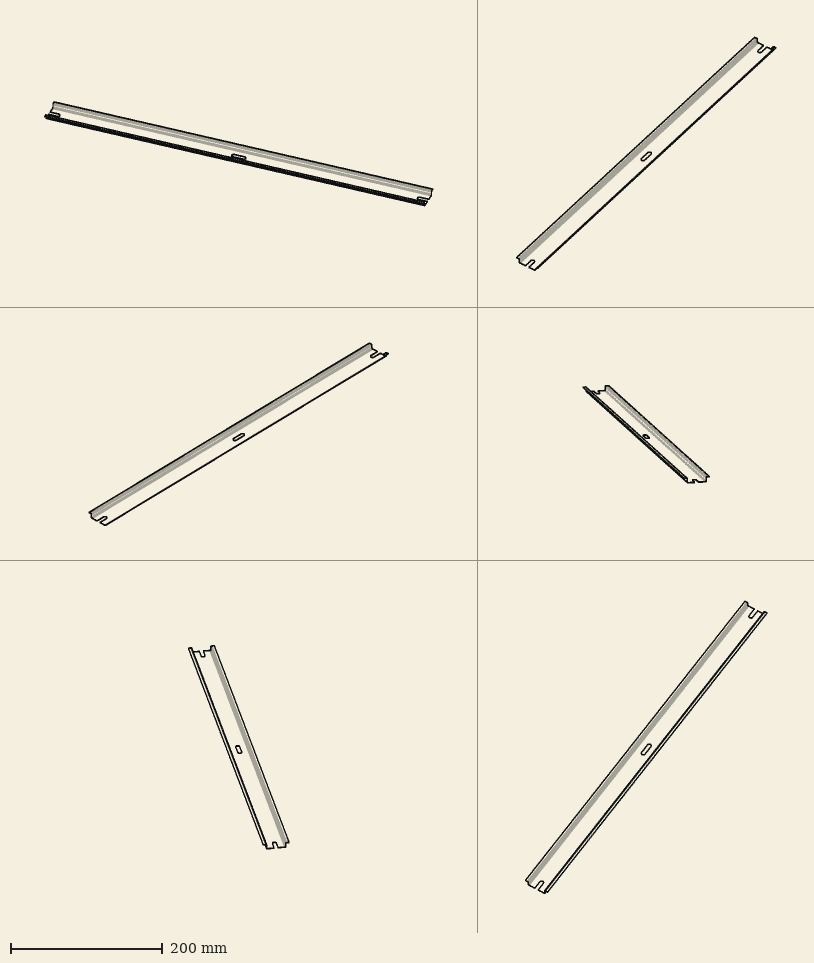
import cadquery as cq

length = 535.0
width = 35.0
height = 7.5

sheet = 1.0
channel_width = 27.0
inner_bend = 0.8
outer_bend = inner_bend + sheet

slot_width = 5.5
middle_slot_length = 20.0
end_slot_depth = 15.0


def block(size_y, bottom, top):
    """Full-length bar centred on Y between two heights."""
    return (
        cq.Workplane("XY")
        .workplane(offset=bottom)
        .box(length, size_y, top - bottom, centered=(True, True, False))
    )


def slot_cutter(center_x, slot_length):
    """Round-ended cutter through the web."""
    return (
        cq.Workplane("XY")
        .center(center_x, 0)
        .slot2D(slot_length, slot_width)
        .extrude(sheet)
    )


def outer_form():
    """Solid channel below a full-width flange plate, with outside bends."""
    channel = block(channel_width, 0, height - sheet).edges("|X and <Z").fillet(outer_bend)
    form = channel.union(block(width, height - sheet, height))
    half_channel = channel_width / 2
    flange_corners = cq.selectors.BoxSelector(
        (-length, -half_channel - sheet / 2, height - 1.5 * sheet),
        (length, half_channel + sheet / 2, height - sheet / 2),
    )
    return form.edges("|X").edges(flange_corners).fillet(inner_bend)


def inner_form():
    """Open cavity of the channel, rounded at the floor."""
    cavity_width = channel_width - 2 * sheet
    return block(cavity_width, sheet, height).edges("|X and <Z").fillet(inner_bend)


rail = outer_form().cut(inner_form())

mouth_edges = cq.selectors.BoxSelector(
    (-length, -channel_width / 2, height - sheet / 2),
    (length, channel_width / 2, height + sheet / 2),
)
rail = rail.edges("|X").edges(mouth_edges).fillet(outer_bend)

rail = rail.cut(slot_cutter(0, middle_slot_length))
for end_x in (-length / 2, length / 2):
    rail = rail.cut(slot_cutter(end_x, 2 * end_slot_depth))

result = rail